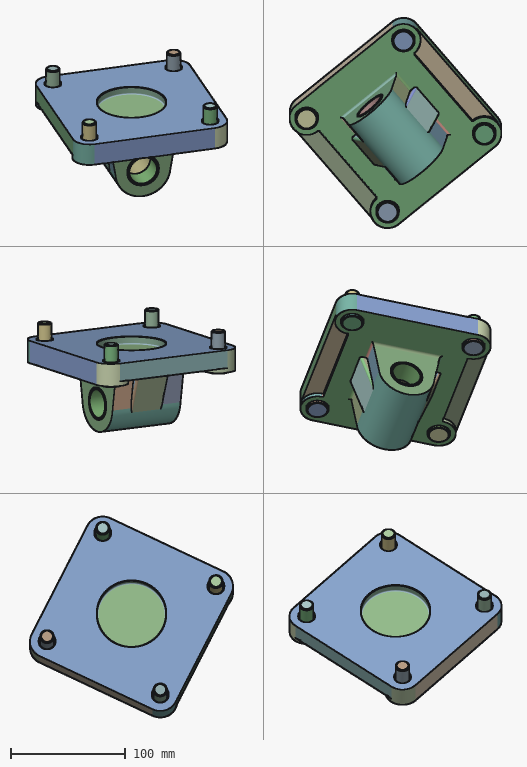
import cadquery as cq
import math

plate_side = 140.0
plate_thickness = 20.0
corner_radius = 15.0
relief_thickness = 16.0
relief_fillet = 1.0

recess_diameter = 60.0
recess_depth = 7.0
recess_floor_fillet = 1.0
rim_chamfer = 0.5

screw_offset = plate_side / 2 - corner_radius
shank_diameter = 12.0
screw_tip_height = 14.8
tip_chamfer = 1.0
head_diameter = 18.0
head_height = 7.0
head_chamfer = 0.5
clearance_diameter = 14.0
counterbore_diameter = 20.0
counterbore_depth = 5.0
screw_points = [
    (x, y)
    for x in (-screw_offset, screw_offset)
    for y in (-screw_offset, screw_offset)
]

lug_width = 70.0
eye_depth = 50.0
lug_radius = 25.0
lug_root_half_depth = 30.4
lug_flank_end_depth = 52.0
lug_root_fillet = 2.0

rib_width = 32.8
rib_root_half_depth = 36.7
rib_flank_end_depth = 56.0
rib_edge_fillet = 2.0

bushing_outer_diameter = 28.0
bushing_bore = 25.0
bushing_length = 20.0
eye_chamfer = 0.5


def lug_prism(width, root_half_depth, flank_end_depth):
    """Tapered prism below the plate, centred on X, ending in a round around the eye."""
    flank_end_half_depth = math.sqrt(lug_radius**2 - (flank_end_depth - eye_depth) ** 2)
    return (
        cq.Workplane("YZ")
        .moveTo(-root_half_depth, -plate_thickness)
        .lineTo(root_half_depth, -plate_thickness)
        .lineTo(flank_end_half_depth, -flank_end_depth)
        .threePointArc((0, -eye_depth - lug_radius), (-flank_end_half_depth, -flank_end_depth))
        .close()
        .extrude(width / 2, both=True)
    )


def make_plate():
    """Square plate with rounded corners."""
    return (
        cq.Workplane("XY")
        .sketch()
        .rect(plate_side, plate_side)
        .vertices()
        .fillet(corner_radius)
        .finalize()
        .extrude(-plate_thickness)
    )


def make_edge_relief():
    """Cutter below the -Y edge that leaves a round pad under each of its two screws."""
    relief_depth = plate_thickness - relief_thickness
    base = cq.Workplane("XY", origin=(0, 0, -plate_thickness))
    pads = (
        base
        .pushPoints([(-screw_offset, -screw_offset), (screw_offset, -screw_offset)])
        .circle(corner_radius)
        .extrude(relief_depth)
    )
    edge_strip = (
        base
        .center(0, -plate_side / 2 + corner_radius / 2)
        .rect(2 * screw_offset, corner_radius)
        .extrude(relief_depth)
    )
    notch_depth = corner_radius + relief_fillet
    middle_notch = (
        base
        .center(0, -plate_side / 2 + notch_depth / 2)
        .rect(2 * (screw_offset - corner_radius), notch_depth)
        .extrude(relief_depth)
        .edges("|Z and >Y")
        .fillet(relief_fillet)
    )
    return edge_strip.cut(pads).union(middle_notch)


def make_rim_cone(hole_diameter):
    """Cutter that chamfers the rim of a hole in the upper face, centred on the origin."""
    return (
        cq.Workplane("XY")
        .circle(hole_diameter / 2 + rim_chamfer)
        .workplane(offset=-rim_chamfer)
        .circle(hole_diameter / 2)
        .loft()
    )


def make_recess():
    """Cutter for the round recess, with a broken rim and a rounded floor corner."""
    recess = (
        cq.Workplane("XY")
        .circle(recess_diameter / 2)
        .extrude(-recess_depth)
        .faces("<Z")
        .edges()
        .fillet(recess_floor_fillet)
    )
    return recess.union(make_rim_cone(recess_diameter))


def make_screw_hole():
    """Cutter for one clearance hole with its counterbore from below, centred on the origin."""
    hole = cq.Workplane("XY").circle(clearance_diameter / 2).extrude(-plate_thickness)
    counterbore = (
        cq.Workplane("XY", origin=(0, 0, -plate_thickness))
        .circle(counterbore_diameter / 2)
        .extrude(counterbore_depth)
    )
    return hole.union(counterbore).union(make_rim_cone(clearance_diameter))


def make_lug():
    """Broad bearing lug, without its rib."""
    return lug_prism(lug_width, lug_root_half_depth, lug_flank_end_depth)


def make_rib():
    """Middle rib that stiffens both flanks of the lug, its long edges rounded."""
    return (
        lug_prism(rib_width, rib_root_half_depth, rib_flank_end_depth)
        .faces("<Y or >Y")
        .edges("<X or >X")
        .fillet(rib_edge_fillet)
    )


def make_eye():
    """Cutter for the bushing seat along X, widened by a chamfer at both ends."""
    seat_radius = bushing_outer_diameter / 2
    half_width = lug_width / 2
    return (
        cq.Workplane("XY", origin=(0, 0, -eye_depth))
        .moveTo(-half_width, 0)
        .lineTo(-half_width, seat_radius + eye_chamfer)
        .lineTo(-half_width + eye_chamfer, seat_radius)
        .lineTo(half_width - eye_chamfer, seat_radius)
        .lineTo(half_width, seat_radius + eye_chamfer)
        .lineTo(half_width, 0)
        .close()
        .revolve(360, (0, 0, 0), (1, 0, 0))
    )


def make_housing():
    """Plate and lug in one piece, with all holes and recesses."""
    reach = screw_offset
    lug_root_edges = cq.selectors.BoxSelector(
        (-reach, -reach, -plate_thickness - lug_root_fillet),
        (reach, reach, -plate_thickness + lug_root_fillet),
    )
    housing = (
        make_plate()
        .union(make_lug())
        .edges(lug_root_edges)
        .fillet(lug_root_fillet)
        .union(make_rib())
        .cut(make_eye())
        .cut(make_recess())
    )
    edge_relief = make_edge_relief()
    housing = housing.cut(edge_relief).cut(edge_relief.mirror("XZ"))
    for x, y in screw_points:
        housing = housing.cut(make_screw_hole().translate((x, y, 0)))
    return housing


def make_screw():
    """Cap screw pointing up, centred on the origin, seated on the counterbore floor."""
    seat_height = counterbore_depth - plate_thickness
    shank = (
        cq.Workplane("XY", origin=(0, 0, seat_height))
        .circle(shank_diameter / 2)
        .extrude(screw_tip_height - seat_height)
        .faces(">Z")
        .chamfer(tip_chamfer)
    )
    head = (
        cq.Workplane("XY", origin=(0, 0, seat_height))
        .circle(head_diameter / 2)
        .extrude(-head_height)
        .faces("<Z")
        .chamfer(head_chamfer)
    )
    return shank.union(head)


def make_bushing(end):
    """Plain bushing flush with the lug face at the given end of X, -1 or 1."""
    return (
        cq.Workplane("YZ", origin=(end * lug_width / 2, 0, -eye_depth))
        .circle(bushing_outer_diameter / 2)
        .circle(bushing_bore / 2)
        .extrude(-end * bushing_length)
    )


housing = make_housing()
screws = [make_screw().translate((x, y, 0)) for x, y in screw_points]
bushings = [make_bushing(end) for end in (-1, 1)]

result = cq.Compound.makeCompound([
    housing.val(),
    *[screw.val() for screw in screws],
    *[bushing.val() for bushing in bushings],
])